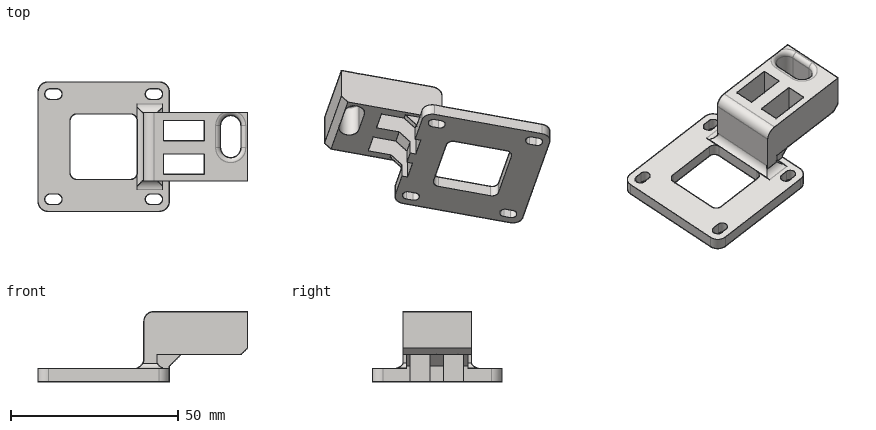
import cadquery as cq
import math

PLATE_LENGTH = 39.28
PLATE_WIDTH = 38.73
PLATE_THICKNESS = 4.0
PLATE_CORNER_RADIUS = 3.1
PLATE_CENTER_X = PLATE_LENGTH / 2

OPENING_LENGTH = 20.0
OPENING_WIDTH = 19.5
OPENING_CORNER_RADIUS = 2.0

MOUNT_PITCH_X = 30.0
MOUNT_PITCH_Y = 31.4
MOUNT_SLOT_LENGTH = 5.1
MOUNT_SLOT_WIDTH = 3.1

TOTAL_LENGTH = 62.61
TOTAL_HEIGHT = 21.0
ARM_LEFT = 31.6
ARM_WIDTH = 20.5
ARM_UNDERSIDE = 8.1
WALL_THICKNESS = 4.0
WALL_RIGHT = ARM_LEFT + WALL_THICKNESS
ARM_ROUND_RADIUS = 3.0
ARM_TIP_CHAMFER = 2.0

GUSSET_INSET = 1.0
GUSSET_WIDTH = ARM_WIDTH - 2 * GUSSET_INSET
GUSSET_FOOT_HEIGHT = 0.7
GUSSET_SLOPE_START = PLATE_THICKNESS + GUSSET_FOOT_HEIGHT
GUSSET_REACH = PLATE_LENGTH + ARM_UNDERSIDE - GUSSET_SLOPE_START

FLARE_RADIUS = 3.0
FLARE_WIDTH = 25.6
FLARE_TRIM = 1.0
FLARE_LEFT = PLATE_CENTER_X + OPENING_LENGTH / 2
FLARE_LENGTH = 7.6

POCKET_LENGTH = 12.1
POCKET_WIDTH = 6.0
POCKET_PITCH = 10.0
POCKET_CENTER_X = 43.6
POCKET_CENTER_Y = -0.2

TIP_SLOT_WIDTH = 6.0
TIP_SLOT_LENGTH = 12.5
TIP_SLOT_CENTER = (57.57, 3.0)
TIP_SLOT_LIP_RADIUS = 1.5


def make_plate():
    plate = (
        cq.Workplane("XY")
        .center(PLATE_CENTER_X, 0)
        .rect(PLATE_LENGTH, PLATE_WIDTH)
        .extrude(PLATE_THICKNESS)
        .edges("|Z")
        .fillet(PLATE_CORNER_RADIUS)
    )
    opening = (
        cq.Workplane("XY")
        .center(PLATE_CENTER_X, 0)
        .rect(OPENING_LENGTH, OPENING_WIDTH)
        .extrude(PLATE_THICKNESS)
        .edges("|Z")
        .fillet(OPENING_CORNER_RADIUS)
    )
    mount_slots = (
        cq.Workplane("XY")
        .center(PLATE_CENTER_X, 0)
        .rarray(MOUNT_PITCH_X, MOUNT_PITCH_Y, 2, 2)
        .slot2D(MOUNT_SLOT_LENGTH, MOUNT_SLOT_WIDTH)
        .extrude(PLATE_THICKNESS)
    )
    return plate.cut(opening).cut(mount_slots)


def make_arm():
    arm = (
        cq.Workplane("XZ")
        .moveTo(ARM_LEFT, PLATE_THICKNESS)
        .lineTo(WALL_RIGHT, PLATE_THICKNESS)
        .lineTo(WALL_RIGHT, ARM_UNDERSIDE)
        .lineTo(TOTAL_LENGTH - ARM_TIP_CHAMFER, ARM_UNDERSIDE)
        .lineTo(TOTAL_LENGTH, ARM_UNDERSIDE + ARM_TIP_CHAMFER)
        .lineTo(TOTAL_LENGTH, TOTAL_HEIGHT)
        .lineTo(ARM_LEFT, TOTAL_HEIGHT)
        .close()
        .extrude(ARM_WIDTH / 2, both=True)
    )
    return arm.edges("|Y and <X and >Z").fillet(ARM_ROUND_RADIUS)


def make_gusset():
    return (
        cq.Workplane("XZ")
        .moveTo(WALL_RIGHT, PLATE_THICKNESS)
        .lineTo(PLATE_LENGTH, PLATE_THICKNESS)
        .lineTo(PLATE_LENGTH, GUSSET_SLOPE_START)
        .lineTo(GUSSET_REACH, ARM_UNDERSIDE)
        .lineTo(WALL_RIGHT, ARM_UNDERSIDE)
        .close()
        .extrude(GUSSET_WIDTH / 2, both=True)
    )


def make_cove(plane, center, foot_width, depth):
    """Bar whose two sides are concave quarter rounds, tangent to the plate top."""
    half_foot = foot_width / 2
    half_neck = half_foot - FLARE_RADIUS
    neck_z = PLATE_THICKNESS + FLARE_RADIUS
    arc_reach = FLARE_RADIUS * (1 - math.sqrt(0.5))
    arc_mid_x = half_neck + arc_reach
    arc_mid_z = PLATE_THICKNESS + arc_reach
    return (
        cq.Workplane(plane)
        .moveTo(center - half_foot, PLATE_THICKNESS)
        .lineTo(center + half_foot, PLATE_THICKNESS)
        .threePointArc((center + arc_mid_x, arc_mid_z), (center + half_neck, neck_z))
        .lineTo(center - half_neck, neck_z)
        .threePointArc((center - arc_mid_x, arc_mid_z), (center - half_foot, PLATE_THICKNESS))
        .close()
        .extrude(depth, both=True)
    )


def make_flare():
    """Mitred flare: two crossing coves, trimmed square on the X ends."""
    center_x = FLARE_LEFT + FLARE_LENGTH / 2
    across_x = make_cove("XZ", center_x, FLARE_LENGTH + 2 * FLARE_TRIM, FLARE_WIDTH)
    across_y = make_cove("YZ", 0, FLARE_WIDTH, TOTAL_LENGTH)
    trim = cq.Workplane("XY").center(center_x, 0).rect(FLARE_LENGTH, FLARE_WIDTH).extrude(TOTAL_HEIGHT)
    return across_x.intersect(across_y).intersect(trim)


def make_pockets():
    return (
        cq.Workplane("XY")
        .center(POCKET_CENTER_X, POCKET_CENTER_Y)
        .rarray(1, POCKET_PITCH, 1, 2)
        .rect(POCKET_LENGTH, POCKET_WIDTH)
        .extrude(TOTAL_HEIGHT)
    )


def make_tip_slot():
    """Slot cutter that widens at the top by a convex lip."""
    surround_width = TIP_SLOT_WIDTH + 4 * TIP_SLOT_LIP_RADIUS
    surround_length = TIP_SLOT_LENGTH + 4 * TIP_SLOT_LIP_RADIUS
    base = cq.Workplane("XY").center(*TIP_SLOT_CENTER)
    block = base.rect(surround_width, surround_length).extrude(TOTAL_HEIGHT)
    slot = base.slot2D(TIP_SLOT_LENGTH, TIP_SLOT_WIDTH, 90).extrude(TOTAL_HEIGHT)
    rim_half_width = TIP_SLOT_WIDTH / 2 + TIP_SLOT_LIP_RADIUS
    rim_half_length = TIP_SLOT_LENGTH / 2 + TIP_SLOT_LIP_RADIUS
    center_x, center_y = TIP_SLOT_CENTER
    slot_rim = cq.selectors.BoxSelector(
        (center_x - rim_half_width, center_y - rim_half_length, TOTAL_HEIGHT - TIP_SLOT_LIP_RADIUS),
        (center_x + rim_half_width, center_y + rim_half_length, TOTAL_HEIGHT + TIP_SLOT_LIP_RADIUS),
    )
    lipped_block = block.cut(slot).edges(slot_rim).fillet(TIP_SLOT_LIP_RADIUS)
    return block.cut(lipped_block)


body = make_plate().union(make_arm()).union(make_gusset()).union(make_flare())
result = body.cut(make_pockets()).cut(make_tip_slot())